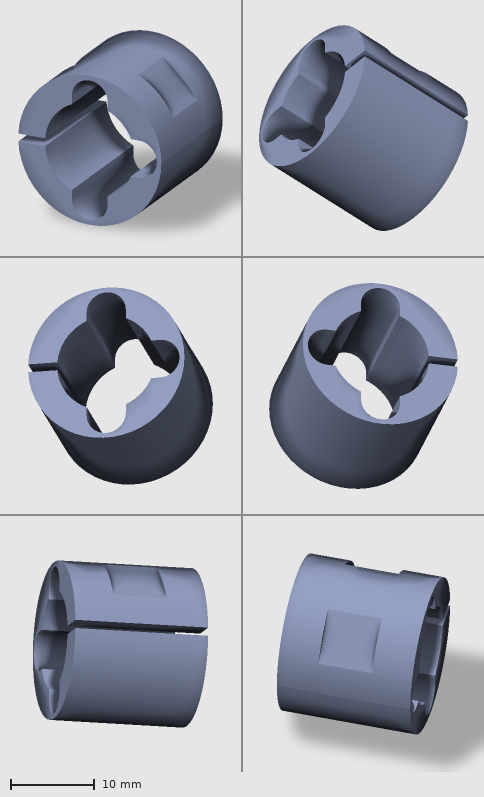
import cadquery as cq
import math

outer_diameter = 19.05
bore_diameter = 11.94
length = 16.41

lobe_width = 4.76
lobe_reach = 8.92
lobe_angles = (0, 90, -90)

slit_width = 1.0

flat_length = 6.6
flat_chord = 6.6
flat_angles = (45, 135)

outer_radius = outer_diameter / 2
lobe_radius = lobe_width / 2
lobe_centre = lobe_reach - lobe_radius
flat_distance = math.sqrt(outer_radius**2 - (flat_chord / 2) ** 2)


def turn_about_axis(body, angle):
    """Turn a body about the ring axis, from +X toward +Z for a positive angle."""
    return body.rotate((0, 0, 0), (0, -1, 0), angle)


def ring_body():
    return (
        cq.Workplane("XZ", origin=(0, length / 2, 0))
        .circle(outer_radius)
        .circle(bore_diameter / 2)
        .extrude(length)
    )


def lobe_cutter():
    """Channel from the ring axis to a rounded end on the +X side."""
    return (
        cq.Workplane("XZ", origin=(0, length / 2, 0))
        .moveTo(0, -lobe_radius)
        .lineTo(lobe_centre, -lobe_radius)
        .threePointArc((lobe_reach, 0), (lobe_centre, lobe_radius))
        .lineTo(0, lobe_radius)
        .close()
        .extrude(length)
    )


def slit_cutter():
    """Slab from the ring axis out through the -X wall."""
    return cq.Workplane("XY").box(
        outer_radius, length, slit_width, centered=(False, True, True)
    ).translate((-outer_radius, 0, 0))


def flat_cutter():
    """Block whose inner face is the flat, set on the +X side."""
    return cq.Workplane("XY").box(
        outer_radius, flat_length, outer_diameter, centered=(False, True, True)
    ).translate((flat_distance, 0, 0))


result = ring_body().cut(slit_cutter())
for lobe_angle in lobe_angles:
    result = result.cut(turn_about_axis(lobe_cutter(), lobe_angle))
for flat_angle in flat_angles:
    result = result.cut(turn_about_axis(flat_cutter(), flat_angle))